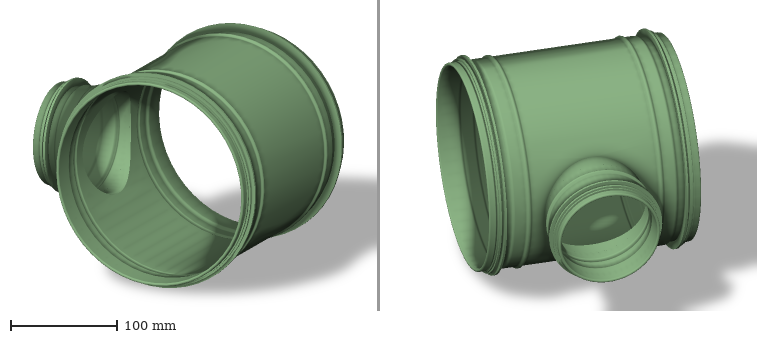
import cadquery as cq
import math


wall = 0.5
main_length = 206.0
main_diameter = 199.0
branch_diameter = 99.0
branch_reach = 152.0
collar_reach = 100.5

seat_depth = 2.39
hem_length = 6.2
hem_bend_radius = 0.5
hem_tip_length = 1.5
seat_end = 20.8
seat_bend_radius = 2.45
bead_centre = 38.8
bead_height = 2.0
bead_bend_radius = 1.8
bend_angle = 45

base_thickness = 1.4
shoulder_start = 8.0
shoulder_height = 3.2
lip_thickness = 2.0
short_lip_start = 9.5
short_lip_height = 5.1
long_lip_start = 13.9
long_lip_diameter_gain = 10.5

main_radius = main_diameter / 2
branch_radius = branch_diameter / 2
half_length = main_length / 2
slope = math.radians(bend_angle)
long_lip_height = seat_depth + long_lip_diameter_gain / 2

front_end = cq.Plane(origin=(0, -half_length, 0), xDir=(0, 1, 0), normal=(1, 0, 0))
back_end = cq.Plane(origin=(0, half_length, 0), xDir=(0, -1, 0), normal=(-1, 0, 0))
branch_end = cq.Plane(origin=(-branch_reach, 0, 0), xDir=(1, 0, 0), normal=(0, -1, 0))


def revolve_about_axis(profile):
    return profile.revolve(360, (0, 0, 0), (1, 0, 0))


def straight(length):
    return (length, 0, 0)


def bend(radius, angle):
    """A bend by `angle` degrees, positive to the left."""
    return (0, radius, angle)


def ramp_flank(rise, radius):
    """Length of the straight flank between the two bends of a ramp that climbs `rise`."""
    return (rise - 2 * radius * (1 - math.cos(slope))) / math.sin(slope)


def ramp_run(rise, radius):
    """Axial length of a ramp that climbs `rise`."""
    return 2 * radius * math.sin(slope) + ramp_flank(rise, radius) * math.cos(slope)


def ramp(rise, radius, turn):
    """Two opposite bends and a straight flank; turn is 1 to climb and -1 to descend."""
    return [
        bend(radius, turn * bend_angle),
        straight(ramp_flank(rise, radius)),
        bend(radius, -turn * bend_angle),
    ]


def end_moves(length):
    """Middle line of the sheet from the hem tip round the fold and `length` into the duct."""
    fold_radius = seat_depth / 2
    fold_reach = fold_radius + wall / 2
    bead_run = ramp_run(bead_height, bead_bend_radius)
    seat_rise_end = seat_end + ramp_run(seat_depth, seat_bend_radius)
    return [
        straight(hem_tip_length),
        bend(hem_bend_radius, bend_angle),
        straight(hem_length - fold_reach),
        bend(fold_radius, 180),
        straight(seat_end - fold_reach),
        *ramp(seat_depth, seat_bend_radius, 1),
        straight(bead_centre - bead_run - seat_rise_end),
        *ramp(bead_height, bead_bend_radius, 1),
        *ramp(bead_height, bead_bend_radius, -1),
        straight(length - bead_centre - bead_run),
    ]


def face_segments(start, heading, moves, offset):
    """Sheet face at `offset` to the left of the middle line, as (begin, middle, end, curved) segments."""
    x, y = start
    segments = []

    def face_point():
        return (x - offset * math.sin(heading), y + offset * math.cos(heading))

    for length, radius, angle in moves:
        points = [face_point()]
        for _ in range(2):
            half_turn = math.radians(angle) / 2
            chord = length / 2 + 2 * radius * math.sin(abs(half_turn) / 2)
            x += chord * math.cos(heading + half_turn / 2)
            y += chord * math.sin(heading + half_turn / 2)
            heading += half_turn
            points.append(face_point())
        segments.append((*points, angle != 0))
    return segments


def sheet_profile(plane, duct_radius, moves):
    """Closed outline of a sheet that starts at a hem tip and follows `moves`."""
    tip_run = hem_tip_length * math.cos(slope) + hem_bend_radius * math.sin(slope)
    tip_drop = hem_tip_length * math.sin(slope) + hem_bend_radius * (1 - math.cos(slope))
    start = (hem_length + tip_run, duct_radius - wall / 2 - tip_drop)
    heading = math.pi - slope
    outside = face_segments(start, heading, moves, -wall / 2)
    inside = face_segments(start, heading, moves, wall / 2)
    inside_back = [(end, middle, begin, curved) for begin, middle, end, curved in reversed(inside)]
    far_edge = (outside[-1][2], None, inside_back[0][0], False)

    profile = cq.Workplane(plane).moveTo(*outside[0][0])
    for _, middle, end, curved in [*outside, far_edge, *inside_back]:
        if curved:
            profile = profile.threePointArc(middle, end)
        else:
            profile = profile.lineTo(*end)
    return profile.close()


def make_main_duct():
    """Duct with two hemmed ends and a collar that meets the branch spigot."""
    half_moves = end_moves(half_length)
    moves = half_moves + half_moves[::-1]
    duct = revolve_about_axis(sheet_profile(front_end, main_radius, moves))

    collar_plane = cq.Workplane("YZ", origin=(-collar_reach, 0, 0))
    collar = collar_plane.circle(branch_radius).extrude(collar_reach)
    duct_core = cq.Workplane("XZ").circle(main_radius - wall / 2).extrude(half_length, both=True)
    opening = collar_plane.circle(branch_radius - wall).extrude(collar_reach)
    return duct.union(collar.cut(duct_core)).cut(opening)


def make_branch_spigot():
    """Branch with one hemmed end, butted against the collar."""
    moves = end_moves(branch_reach - collar_reach)
    return revolve_about_axis(sheet_profile(branch_end, branch_radius, moves))


def make_seal(plane, duct_radius):
    """Rubber ring in the seal seat, with a shoulder near the hem and two lips."""
    seat = duct_radius - seat_depth
    section = [
        (shoulder_start, 0),
        (shoulder_start, shoulder_height),
        (short_lip_start, shoulder_height),
        (short_lip_start, short_lip_height),
        (short_lip_start + lip_thickness, short_lip_height),
        (short_lip_start + lip_thickness, base_thickness),
        (long_lip_start, base_thickness),
        (long_lip_start, long_lip_height),
        (long_lip_start + lip_thickness, long_lip_height),
        (long_lip_start + lip_thickness, 0),
    ]
    outline = [(x, seat + height) for x, height in section]
    return revolve_about_axis(cq.Workplane(plane).polyline(outline).close())


main_duct = make_main_duct()
branch_spigot = make_branch_spigot()
seal_places = [
    (front_end, main_radius),
    (back_end, main_radius),
    (branch_end, branch_radius),
]
seals = [make_seal(plane, radius) for plane, radius in seal_places]

result = cq.Compound.makeCompound([
    main_duct.val(),
    branch_spigot.val(),
    *[seal.val() for seal in seals],
])